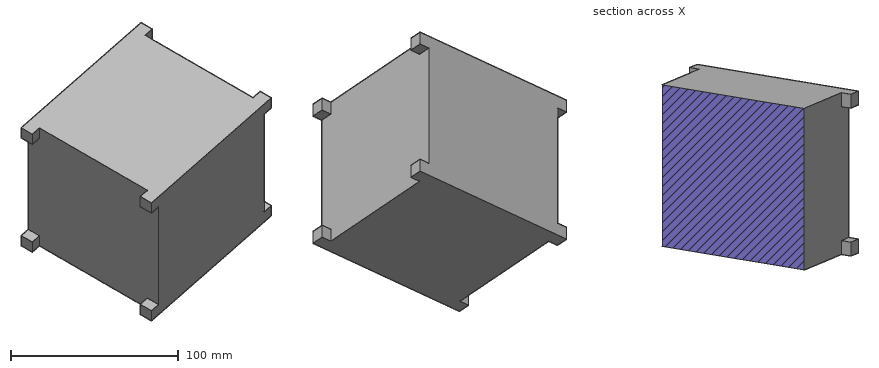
import cadquery as cq

cube_side = 100.0
overall_length = 113.5
foot_width = 8.6

foot_length = (overall_length - cube_side) / 2
foot_offset = (cube_side - foot_width) / 2

body = cq.Workplane("XY").box(cube_side, cube_side, cube_side)

corner_bars = (
    cq.Workplane("XZ")
    .rect(2 * foot_offset, 2 * foot_offset, forConstruction=True)
    .vertices()
    .rect(foot_width, foot_width)
    .extrude(cube_side / 2 + foot_length, both=True)
)

result = body.union(corner_bars).clean()